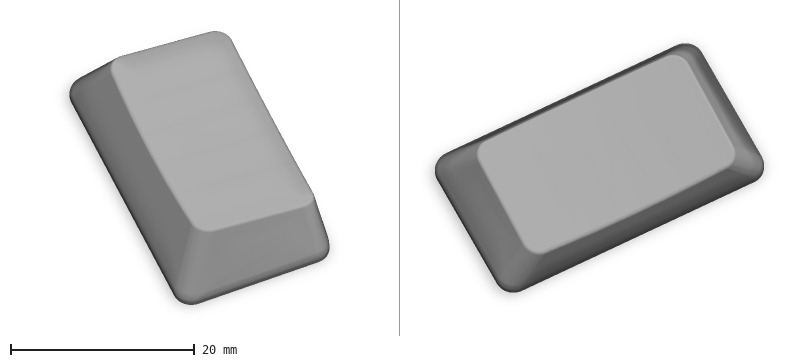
import cadquery as cq
import math

length = 32.45
width = 18.17
base_corner_radius = 2.0
skirt_height = 0.62
shoulder_corner = 0.97
shoulder_top = 1.35

rim_half_length = 12.72
rim_front_y = -5.45
rim_back_y = 8.6
rim_front_z = 7.8
rim_back_z = 6.1
rim_corner_radius = 1.88
rim_round = 0.4

dish_depth = 0.7
trim = 0.1
cutter_length = 64.9

rim_drop = rim_front_z - rim_back_z
rim_run = rim_back_y - rim_front_y
rim_slope_length = math.hypot(rim_run, rim_drop)
rim_center = (0, (rim_front_y + rim_back_y) / 2, (rim_front_z + rim_back_z) / 2)
rim_plane = cq.Plane(origin=rim_center, xDir=(1, 0, 0), normal=(0, rim_drop, rim_run))


def rounded_rectangle(size_x, size_y, radius, plane):
    """Closed outline of a rounded rectangle centred on the plane."""
    half_x = size_x / 2
    half_y = size_y / 2
    diagonal = radius * (1 - math.sqrt(0.5))
    return (
        cq.Workplane(plane)
        .moveTo(radius - half_x, -half_y)
        .lineTo(half_x - radius, -half_y)
        .threePointArc((half_x - diagonal, diagonal - half_y), (half_x, radius - half_y))
        .lineTo(half_x, half_y - radius)
        .threePointArc((half_x - diagonal, half_y - diagonal), (half_x - radius, half_y))
        .lineTo(radius - half_x, half_y)
        .threePointArc((diagonal - half_x, half_y - diagonal), (-half_x, half_y - radius))
        .lineTo(-half_x, radius - half_y)
        .threePointArc((diagonal - half_x, diagonal - half_y), (radius - half_x, -half_y))
        .wire()
    )


def level_outline(wall_fraction, height):
    """Horizontal outline inset by a fraction of the way from the skirt to the rim."""
    half_length = length / 2 + wall_fraction * (rim_half_length - length / 2)
    front_y = -width / 2 + wall_fraction * (rim_front_y + width / 2)
    back_y = width / 2 + wall_fraction * (rim_back_y - width / 2)
    plane = cq.Plane(origin=(0, (front_y + back_y) / 2, height))
    return rounded_rectangle(2 * half_length, back_y - front_y, base_corner_radius, plane).val()


def make_body():
    """Vertical skirt, rounded shoulder and ruled walls up to the tilted rim."""
    top_fraction = (shoulder_top - shoulder_corner) / (rim_center[2] - shoulder_corner)
    middle_height = (skirt_height + 2 * shoulder_corner + shoulder_top) / 4
    bottom = level_outline(0, 0)
    skirt_top = level_outline(0, skirt_height)
    shoulder_middle = level_outline(top_fraction / 4, middle_height)
    wall_bottom = level_outline(top_fraction, shoulder_top)
    rim = rounded_rectangle(2 * rim_half_length, rim_slope_length, rim_corner_radius, rim_plane).val()
    skirt = cq.Solid.makeLoft([bottom, skirt_top], True)
    shoulder = cq.Solid.makeLoft([skirt_top, shoulder_middle, wall_bottom])
    walls = cq.Solid.makeLoft([wall_bottom, rim], True)
    return cq.Workplane(skirt).union(cq.Workplane(shoulder)).union(cq.Workplane(walls))


def make_dish():
    """Cylinder whose axis lies parallel to the falling direction of the rim."""
    radius = (rim_half_length**2 + dish_depth**2) / (2 * dish_depth)
    axis_height = radius - dish_depth - trim
    return (
        cq.Workplane(cq.Plane(origin=rim_center, xDir=(1, 0, 0), normal=(0, -rim_run, rim_drop)))
        .center(0, axis_height)
        .circle(radius)
        .extrude(cutter_length / 2, both=True)
    )


body = make_body().cut(make_dish())
result = body.faces("%CYLINDER").faces(">Z").edges().fillet(rim_round)